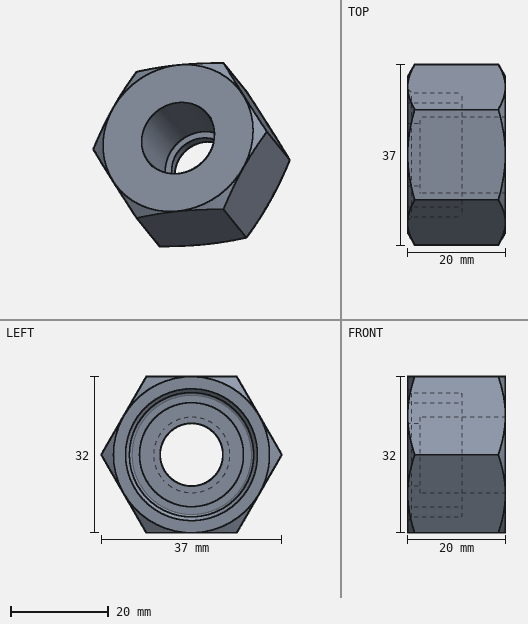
import cadquery as cq
import math

across_corners = 36.95
length = 20.0

end_face_radius = 15.95
corner_chamfer_angle = 30.0
chamfer_overrun = 0.75

sleeve_radius = 10.65
groove_radius = 12.7
groove_mouth_radius = 13.5
groove_floor_fillet = 0.5
groove_depth = 11.1

bore_radius = 6.4
bore_land = 2.45
rear_bore_radius = 7.75


def revolve_about_x(points):
    """Turn a closed (axial position, radius) outline about the X axis."""
    return cq.Workplane("XY").polyline(points).close().revolve(360, (0, 0, 0), (1, 0, 0))


def hexagonal_body():
    prism = cq.Workplane("YZ").polygon(6, across_corners).extrude(length)
    corner_radius = across_corners / 2
    rim_radius = corner_radius + chamfer_overrun
    rim_setback = (rim_radius - end_face_radius) * math.tan(math.radians(corner_chamfer_angle))
    envelope = revolve_about_x([
        (0, 0),
        (0, end_face_radius),
        (rim_setback, rim_radius),
        (length - rim_setback, rim_radius),
        (length, end_face_radius),
        (length, 0),
    ])
    return prism.intersect(envelope)


def annular_groove():
    mouth_depth = groove_mouth_radius - groove_radius
    sharp_groove = revolve_about_x([
        (0, sleeve_radius),
        (0, groove_mouth_radius),
        (mouth_depth, groove_radius),
        (groove_depth, groove_radius),
        (groove_depth, sleeve_radius),
    ])
    floor_outer_edge = cq.selectors.RadiusNthSelector(-1)
    return sharp_groove.faces(">X").edges(floor_outer_edge).fillet(groove_floor_fillet)


def central_bore():
    return revolve_about_x([
        (0, 0),
        (0, bore_radius),
        (bore_land, bore_radius),
        (bore_land, rear_bore_radius),
        (length, rear_bore_radius),
        (length, 0),
    ])


nut = hexagonal_body().cut(annular_groove()).cut(central_bore())
result = nut.translate((-length / 2, 0, 0))